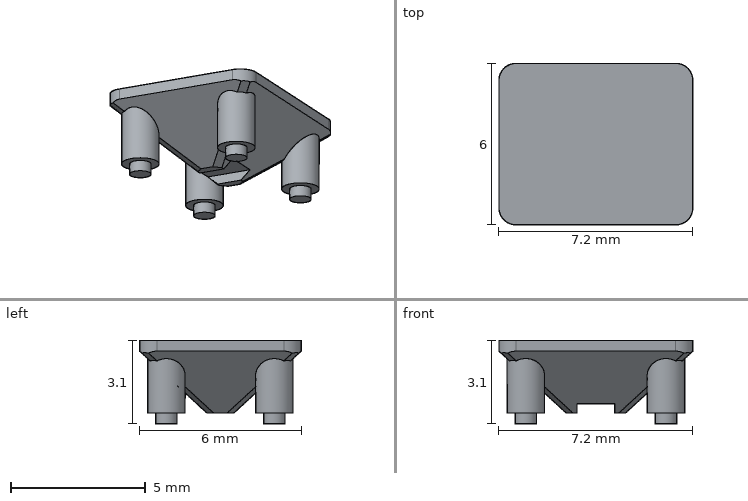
import cadquery as cq

length = 7.2
width = 6.0
height = 3.1
corner_radius = 0.64
rim_thickness = 0.4

pin_length = 0.4
body_depth = height - pin_length
taper_inset = 2.5
corner_cut = 0.25

channel_width = 1.4
channel_depth = 0.345

post_diameter = 1.4
pin_diameter = 0.8
post_x = 2.6
post_y = 2.0

rim_z = -rim_thickness
body_z = -body_depth


def cut_corner_rectangle(inset):
    """Points of the plate rectangle, shrunk by inset, with its corners cut at 45 degrees."""
    x = length / 2 - inset
    y = width / 2 - inset
    x_cut = x - corner_cut
    y_cut = y - corner_cut
    return [(x, -y_cut), (x, y_cut), (x_cut, y), (-x_cut, y),
            (-x, y_cut), (-x, -y_cut), (-x_cut, -y), (x_cut, -y)]


def rounded_block(depth):
    return (
        cq.Workplane("XY")
        .rect(length, width)
        .extrude(-depth)
        .edges("|Z")
        .fillet(corner_radius)
    )


def tapered_body():
    body = (
        cq.Workplane("XY", origin=(0, 0, rim_z))
        .polyline(cut_corner_rectangle(0))
        .close()
        .workplane(offset=body_z - rim_z)
        .polyline(cut_corner_rectangle(taper_inset))
        .close()
        .loft(ruled=True)
    )
    channel = (
        cq.Workplane("XY", origin=(0, 0, body_z))
        .rect(channel_width, width)
        .extrude(channel_depth)
    )
    return body.intersect(rounded_block(body_depth)).cut(channel)


def post(x, y):
    return (
        cq.Workplane("XY", origin=(x, y, rim_z))
        .circle(post_diameter / 2)
        .extrude(body_z - rim_z)
        .faces("<Z")
        .workplane()
        .circle(pin_diameter / 2)
        .extrude(pin_length)
    )


result = rounded_block(rim_thickness).union(tapered_body())
for x in (-post_x, post_x):
    for y in (-post_y, post_y):
        result = result.union(post(x, y))